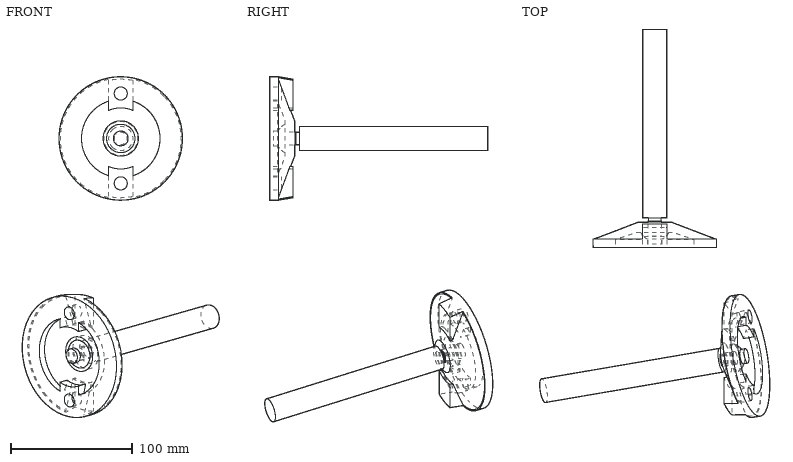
import cadquery as cq

total_length = 180.0
foot_face_y = -total_length / 2

rim_diameter = 102.0
rim_radius = rim_diameter / 2
rim_thickness = 7.2
cone_base_radius = 49.9
cone_top_radius = 14.0
foot_height = 20.9

recess_radius = 32.4
recess_wall_depth = 6.7
recess_floor_radius = 14.5
recess_floor_depth = 12.6

lug_width = 20.0
lug_height = 19.3
lug_inner_radius = 25.2
lug_top_radius = 49.0
bolt_hole_radius = 5.4
bolt_hole_offset = 37.0
bolt_hole_depth = lug_height / 2

shank_diameter = 20.0
shank_radius = shank_diameter / 2
shank_start = 24.5
neck_radius = 5.4
neck_step = 21.8
neck_relief_radius = 5.2
ball_radius = 13.1
ball_side_radius = 11.7
tip_radius = 6.1
tip_start = 3.0
tip_length = 3.8


def revolve_about_y(profile):
    """Turn a closed (radius, height) profile about the Y axis."""
    return profile.close().revolve(360, (0, 0, 0), (0, 1, 0)).translate((0, foot_face_y, 0))


def make_shell():
    """Rim and conical back, before the recess is cut."""
    return revolve_about_y(
        cq.Workplane("XY")
        .lineTo(rim_radius, 0)
        .lineTo(rim_radius, rim_thickness)
        .lineTo(cone_base_radius, rim_thickness)
        .lineTo(cone_top_radius, foot_height)
        .lineTo(0, foot_height)
    )


def make_recess():
    """Straight-walled opening that narrows to a flat floor."""
    return revolve_about_y(
        cq.Workplane("XY")
        .lineTo(recess_radius, 0)
        .lineTo(recess_radius, recess_wall_depth)
        .lineTo(recess_floor_radius, recess_floor_depth)
        .lineTo(0, recess_floor_depth)
    )


def make_lugs():
    """Two parallel-sided lugs with a tapered outer face."""
    ring = revolve_about_y(
        cq.Workplane("XY")
        .moveTo(lug_inner_radius, 0)
        .lineTo(rim_radius, 0)
        .lineTo(rim_radius, rim_thickness)
        .lineTo(lug_top_radius, lug_height)
        .lineTo(lug_inner_radius, lug_height)
    )
    band = cq.Workplane("XY").box(lug_width, total_length, rim_diameter)
    return ring.intersect(band.translate((0, foot_face_y, 0)))


def make_bolt_holes():
    """Blind holes from the front face, one in each lug."""
    return (
        cq.Workplane("XZ", origin=(0, foot_face_y, 0))
        .pushPoints([(0, bolt_hole_offset), (0, -bolt_hole_offset)])
        .circle(bolt_hole_radius)
        .extrude(-bolt_hole_depth)
    )


def make_neck_hole():
    """Through hole that fits the neck of the stem."""
    return (
        cq.Workplane("XZ", origin=(0, foot_face_y, 0))
        .circle(neck_radius)
        .extrude(-foot_height)
    )


def make_foot():
    foot = make_shell().cut(make_recess()).union(make_lugs())
    return foot.cut(make_bolt_holes()).cut(make_neck_hole())


def make_stem():
    """Shank, stepped neck and a ball zone with a short flat tip."""
    tip_end = tip_start + tip_length
    ball_centre = tip_end + (ball_radius**2 - tip_radius**2) ** 0.5
    ball_seat = ball_centre - (ball_radius**2 - ball_side_radius**2) ** 0.5
    middle_radius = (tip_radius + ball_side_radius) / 2
    arc_middle = (middle_radius, ball_centre - (ball_radius**2 - middle_radius**2) ** 0.5)
    return revolve_about_y(
        cq.Workplane("XY")
        .moveTo(0, tip_start)
        .lineTo(tip_radius, tip_start)
        .lineTo(tip_radius, tip_end)
        .threePointArc(arc_middle, (ball_side_radius, ball_seat))
        .lineTo(ball_side_radius, recess_floor_depth)
        .lineTo(neck_radius, recess_floor_depth)
        .lineTo(neck_radius, neck_step)
        .lineTo(neck_relief_radius, neck_step)
        .lineTo(neck_relief_radius, shank_start)
        .lineTo(shank_radius, shank_start)
        .lineTo(shank_radius, total_length)
        .lineTo(0, total_length)
    )


foot = make_foot()
stem = make_stem()
result = cq.Compound.makeCompound([foot.val(), stem.val()])